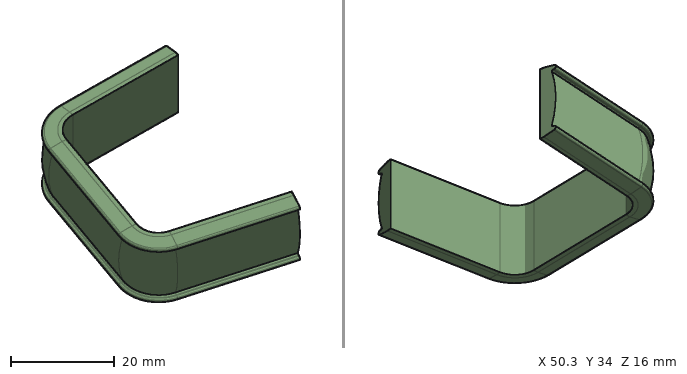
import cadquery as cq
import math

width = 50.25
depth = 34.0
height = 16.0
wall = 4.0
inner_corner_radius = 4.95
arm_flare = math.radians(7)

flat_rim = 1.0
lip_spacing = 14.05
lip_radius = 0.5
groove_depth = 1.0
groove_fillet = 0.3

outer_corner_radius = inner_corner_radius + wall
half_height = height / 2
arm_length = (
    depth - outer_corner_radius + inner_corner_radius * math.sin(arm_flare)
) / math.cos(arm_flare)
half_base = (
    width / 2
    - outer_corner_radius * math.cos(arm_flare)
    - arm_length * math.sin(arm_flare)
)
front_y = -depth / 2
corner_y = front_y + outer_corner_radius
bend_angle = math.pi / 2 - arm_flare


def make_section(plane):
    """Wall section: local x runs from the inner face outward, local y is height."""
    lip_x = wall - lip_radius
    lip_z = lip_spacing / 2
    lip_drop = half_height - lip_z
    lip_bottom = lip_z - lip_radius
    panel_x = wall - groove_depth
    panel_z = lip_bottom - groove_fillet
    fillet_x = panel_x + groove_fillet
    fillet_mid_x = fillet_x - groove_fillet * math.sqrt(0.5)
    fillet_mid_z = panel_z + groove_fillet * math.sqrt(0.5)

    run = lip_x - flat_rim
    reach = math.hypot(run, lip_drop)
    normal = math.asin(lip_radius / reach) + math.atan2(run, lip_drop)
    tangent_x = lip_x + lip_radius * math.cos(normal)
    tangent_z = lip_z + lip_radius * math.sin(normal)

    return (
        cq.Workplane(plane)
        .moveTo(0, -half_height)
        .lineTo(flat_rim, -half_height)
        .lineTo(tangent_x, -tangent_z)
        .threePointArc((wall, -lip_z), (lip_x, -lip_bottom))
        .lineTo(fillet_x, -lip_bottom)
        .threePointArc((fillet_mid_x, -fillet_mid_z), (panel_x, -panel_z))
        .threePointArc((wall, 0), (panel_x, panel_z))
        .threePointArc((fillet_mid_x, fillet_mid_z), (fillet_x, lip_bottom))
        .lineTo(lip_x, lip_bottom)
        .threePointArc((wall, lip_z), (tangent_x, tangent_z))
        .lineTo(flat_rim, half_height)
        .lineTo(0, half_height)
        .close()
    )


def section_plane(origin, outward):
    """Upright plane with its local x along the outward direction."""
    across = cq.Vector(*outward)
    return cq.Plane(origin=origin, xDir=across, normal=across.cross(cq.Vector(0, 0, 1)))


def make_base():
    plane = section_plane((0, front_y + wall, 0), (0, -1, 0))
    return make_section(plane).extrude(half_base, both=True)


def make_corner():
    plane = section_plane((-half_base, corner_y - inner_corner_radius, 0), (0, -1, 0))
    return make_section(plane).revolve(
        math.degrees(bend_angle), (-inner_corner_radius, 0.5), (-inner_corner_radius, 0)
    )


def make_arm():
    outward = (-math.cos(arm_flare), -math.sin(arm_flare), 0)
    origin = (
        -half_base + inner_corner_radius * outward[0],
        corner_y + inner_corner_radius * outward[1],
        0,
    )
    plane = section_plane(origin, outward)
    return make_section(plane).extrude(arm_length)


left_side = make_corner().union(make_arm(), clean=False)
right_side = left_side.mirror("YZ")
result = make_base().union(left_side, clean=False).union(right_side, clean=False)